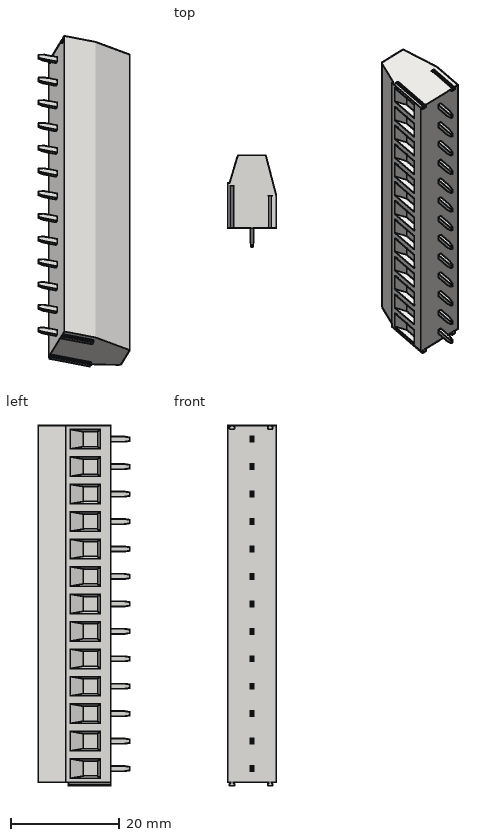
import cadquery as cq

width = 9.0
total_length = 66.65
total_height = 17.0
pole_count = 13

pin_length = 3.5
housing_height = total_height - pin_length
ridge_height = 0.65
housing_bottom = ridge_height
housing_length = total_length - ridge_height
pitch = housing_length / pole_count
entry_face_height = 8.3
entry_step = 0.3
rear_face_height = 6.05
top_face_start = 1.9
top_face_end = 7.05
top_bevel_width = 0.2
top_bevel_height = 0.4

key_neck_width = 0.45
key_width = 0.9
key_slope_height = 0.3
key_tip_bevel = 0.1
front_key_x = 0.8
front_key_length = 7.85
rear_key_x = 7.85
rear_key_length = 5.9

mouth_low, mouth_high = 1.9, 7.5
mouth_length = 3.6
floor_low, floor_high = 2.45, 5.05
floor_length = 2.7
funnel_depth = 0.85

pin_thickness = 0.6
pin_breadth = 1.0
pin_tip_length = 1.0
tip_thickness = 0.3
tip_breadth = 0.65


def make_housing():
    """Tapered profile in XY, extruded along the row of poles."""
    return (
        cq.Workplane("XY", origin=(0, 0, housing_bottom))
        .moveTo(0, 0)
        .lineTo(width, 0)
        .lineTo(width, rear_face_height)
        .lineTo(top_face_end, housing_height)
        .lineTo(top_face_start, housing_height)
        .lineTo(top_face_start - top_bevel_width, housing_height - top_bevel_height)
        .lineTo(entry_step, entry_face_height)
        .lineTo(0, entry_face_height)
        .close()
        .extrude(housing_length)
    )


def make_key(center_x, end_z, length):
    """Bar hanging below the plane Z = end_z, running from the board face toward +Y."""
    wall_top = end_z - key_slope_height
    tip = end_z - ridge_height
    wall_bottom = tip + key_tip_bevel
    half_outline = [
        (key_neck_width / 2, end_z),
        (key_width / 2, wall_top),
        (key_width / 2, wall_bottom),
        (key_width / 2 - key_tip_bevel, tip),
    ]
    mirrored = [(-x, z) for x, z in reversed(half_outline)]
    return (
        cq.Workplane("XZ", origin=(center_x, 0, 0))
        .polyline(half_outline + mirrored)
        .close()
        .extrude(-length)
    )


def make_funnel(z):
    """Wire entry that narrows from its mouth at X = 0 to a smaller flat floor."""
    mouth_center = (mouth_low + mouth_high) / 2
    floor_center = (floor_low + floor_high) / 2
    return (
        cq.Workplane("YZ", origin=(0, mouth_center, z))
        .rect(mouth_high - mouth_low, mouth_length)
        .workplane(offset=funnel_depth)
        .center(floor_center - mouth_center, 0)
        .rect(floor_high - floor_low, floor_length)
        .loft(ruled=True, combine=True)
    )


def make_pin(z):
    """Flat pin standing out of the board face, with a tapered tip."""
    shank_length = pin_length - pin_tip_length
    return (
        cq.Workplane("XZ", origin=(width / 2, 0, z))
        .rect(pin_thickness, pin_breadth)
        .extrude(shank_length)
        .faces("<Y")
        .workplane()
        .rect(pin_thickness, pin_breadth)
        .workplane(offset=pin_tip_length)
        .rect(tip_thickness, tip_breadth)
        .loft(ruled=True, combine=True)
    )


result = make_housing()
for key_x, key_length in ((front_key_x, front_key_length), (rear_key_x, rear_key_length)):
    result = result.union(make_key(key_x, housing_bottom, key_length))
    result = result.cut(make_key(key_x, total_length, key_length))
for pole in range(pole_count):
    pole_z = housing_bottom + (pole + 0.5) * pitch
    result = result.cut(make_funnel(pole_z))
    result = result.union(make_pin(pole_z))